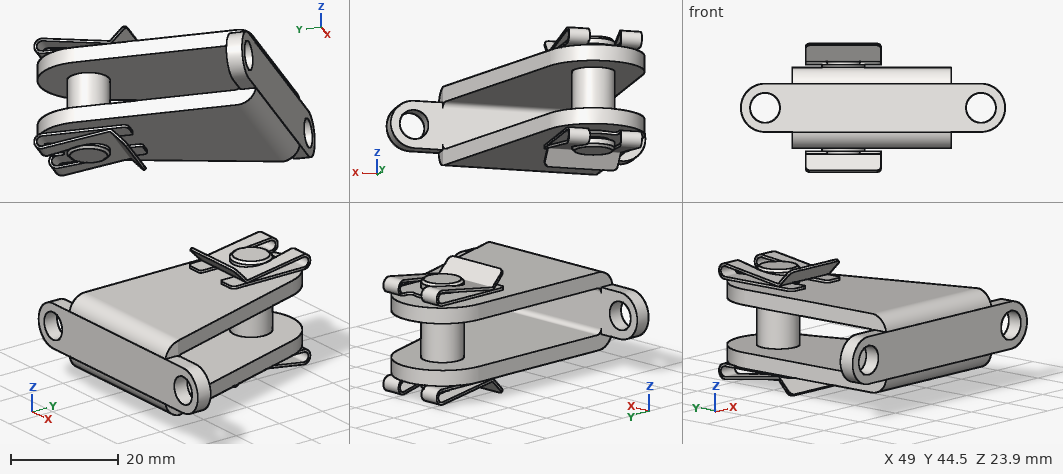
import cadquery as cq
import math


sheet = 3.0
plate_length = 49.0
plate_height = 9.0
mount_hole_dia = 5.5
mount_hole_spacing = 40.0
leg_outer = plate_height / 2 + sheet
bend_inner_radius = 1.0
bend_outer_radius = 3.6
leg_left = -15.0
leg_right = 14.5
leg_end_radius = 9.5

pin_x = leg_left + leg_end_radius
pin_y = 35.0
pin_dia = 8.0
pin_half_length = 10.5
pin_bevel = 0.5
groove_dia = 6.0
groove_start = leg_outer + 0.5
groove_width = 1.0

clip_sheet = 0.5
clip_width = 14.0
clip_front = 25.5
clip_back = 43.5
loop_outer_radius = 1.5
loop_inner_radius = loop_outer_radius - clip_sheet
loop_y = clip_back - loop_outer_radius
loop_z = groove_start + loop_outer_radius
base_top = groove_start + clip_sheet
heel_y = 28.7
heel_gap = 0.02
crease_radius = 0.2
lip_angle = math.radians(46)
clip_top = 11.955
base_back_radius = 5.8
base_back_width = 6.2
base_back_fillet = 0.8
tab_outer_fillet = 1.0
tab_inner_fillet = 0.5
lip_fillet = 1.0


def leg_outline():
    """Plan outline of the legs: a round end around the pin and one slanted edge."""
    corner_x, corner_y = leg_right, sheet
    dx = corner_x - pin_x
    dy = corner_y - pin_y
    tangent_angle = math.atan2(dy, dx) + math.acos(leg_end_radius / math.hypot(dx, dy))
    tangent_point = (
        pin_x + leg_end_radius * math.cos(tangent_angle),
        pin_y + leg_end_radius * math.sin(tangent_angle),
    )
    return (
        cq.Workplane("XY", origin=(0, 0, -leg_outer))
        .moveTo(leg_left, 0)
        .lineTo(leg_left, pin_y)
        .threePointArc((pin_x, pin_y + leg_end_radius), tangent_point)
        .lineTo(corner_x, corner_y)
        .lineTo(leg_right, 0)
        .close()
        .extrude(2 * leg_outer)
    )


def bent_channel():
    """U-shaped bent sheet, open towards +Y, as long in X as the legs are wide."""
    length = leg_right - leg_left
    depth = pin_y + leg_end_radius
    middle_x = (leg_left + leg_right) / 2
    outside = (
        cq.Workplane("XY")
        .box(length, depth, 2 * leg_outer, centered=(True, False, True))
        .edges("|X and <Y")
        .fillet(bend_outer_radius)
    )
    inside = (
        cq.Workplane("XY", origin=(0, sheet, 0))
        .box(length, depth, plate_height, centered=(True, False, True))
        .edges("|X and <Y")
        .fillet(bend_inner_radius)
    )
    return outside.cut(inside).translate((middle_x, 0, 0))


def make_bracket():
    plate = cq.Workplane("XZ").slot2D(plate_length, plate_height).extrude(-sheet)
    mount_holes = (
        cq.Workplane("XZ")
        .rarray(mount_hole_spacing, 1, 2, 1)
        .circle(mount_hole_dia / 2)
        .extrude(-sheet)
    )
    pin_hole = (
        cq.Workplane("XY", origin=(pin_x, pin_y, -leg_outer))
        .circle(pin_dia / 2)
        .extrude(2 * leg_outer)
    )
    legs = bent_channel().intersect(leg_outline())
    return legs.union(plate).cut(mount_holes).cut(pin_hole)


def make_pin():
    """Round pin with bevelled ends and a clip groove near each end."""
    pin = (
        cq.Workplane("XY", origin=(pin_x, pin_y, -pin_half_length))
        .circle(pin_dia / 2)
        .extrude(2 * pin_half_length)
        .faces("|Z")
        .chamfer(pin_bevel)
    )
    groove = (
        cq.Workplane("XY", origin=(pin_x, pin_y, groove_start))
        .circle(pin_dia / 2)
        .circle(groove_dia / 2)
        .extrude(groove_width)
    )
    return pin.cut(groove).cut(groove.mirror("XY"))


def clip_strip():
    """Bent strip of the clip: flat base, loop, sloping arm and raised lip."""
    heel_z = base_top + heel_gap
    run = loop_y - heel_y
    rise = loop_z - heel_z
    tilt = math.atan2(rise, run) + math.asin(loop_inner_radius / math.hypot(run, rise))

    def loop_point(radius, angle):
        return (loop_y + radius * math.cos(angle), loop_z + radius * math.sin(angle))

    arm_start = math.pi / 2 + tilt
    loop_middle = tilt / 2

    half_bend = (tilt + lip_angle) / 2
    mitre = clip_sheet / math.cos(half_bend)
    mitre_lean = half_bend - tilt
    crease = (heel_y + mitre * math.sin(mitre_lean), heel_z + mitre * math.cos(mitre_lean))

    lip_length = (clip_top - crease[1]) / math.sin(lip_angle)
    lip_top = (crease[0] - lip_length * math.cos(lip_angle), clip_top)
    lip_bottom = (
        lip_top[0] - clip_sheet * math.sin(lip_angle),
        lip_top[1] - clip_sheet * math.cos(lip_angle),
    )

    strip = (
        cq.Workplane("YZ", origin=(pin_x - clip_width / 2, 0, 0))
        .moveTo(clip_front, groove_start)
        .lineTo(loop_y, groove_start)
        .threePointArc(
            loop_point(loop_outer_radius, loop_middle),
            loop_point(loop_outer_radius, arm_start),
        )
        .lineTo(*crease)
        .lineTo(*lip_top)
        .lineTo(*lip_bottom)
        .lineTo(heel_y, heel_z)
        .lineTo(*loop_point(loop_inner_radius, arm_start))
        .threePointArc(
            loop_point(loop_inner_radius, loop_middle),
            (loop_y, base_top),
        )
        .lineTo(clip_front, base_top)
        .close()
        .extrude(clip_width)
    )
    crease_edge = cq.selectors.NearestToPointSelector((pin_x, *crease))
    heel_edge = cq.selectors.NearestToPointSelector((pin_x, heel_y, heel_z))
    strip = strip.edges("|X").edges(heel_edge).fillet(crease_radius + clip_sheet)
    strip = strip.edges("|X").edges(crease_edge).fillet(crease_radius)
    lip_end = cq.selectors.NearestToPointSelector(
        (pin_x, (lip_top[0] + lip_bottom[0]) / 2, (lip_top[1] + lip_bottom[1]) / 2)
    )
    return strip.faces(lip_end).edges("not |X").fillet(lip_fillet)


def arm_window():
    """Opening in the arm: clears the pin head and narrows towards the loop."""
    head_radius = pin_dia / 2
    mouth_y = clip_back - pin_y
    mouth_half = groove_dia / 2
    reach = math.hypot(mouth_half, mouth_y)
    touch = math.atan2(mouth_y, mouth_half) - math.acos(head_radius / reach)
    touch_x = head_radius * math.cos(touch)
    touch_y = head_radius * math.sin(touch)
    return (
        cq.Workplane("XY", origin=(pin_x, pin_y, base_top))
        .moveTo(-mouth_half, mouth_y)
        .lineTo(-touch_x, touch_y)
        .threePointArc((0, -head_radius), (touch_x, touch_y))
        .lineTo(mouth_half, mouth_y)
        .close()
        .extrude(clip_top - base_top)
    )


def base_front_slot():
    """Slot from the front of the base to a round seat on the groove of the pin."""
    half = groove_dia / 2
    front = clip_front - pin_y
    return (
        cq.Workplane("XY", origin=(pin_x, pin_y, groove_start))
        .moveTo(-half, front)
        .lineTo(-half, 0)
        .threePointArc((0, half), (half, 0))
        .lineTo(half, front)
        .close()
        .extrude(clip_sheet)
    )


def base_back_notch():
    """Notch from the loop into the base, ending in an arc around the pin."""
    notch_length = clip_back - pin_y
    notch = (
        cq.Workplane("XY", origin=(pin_x, pin_y, groove_start))
        .rect(base_back_width, 2 * notch_length)
        .extrude(clip_sheet)
    )
    rim = (
        cq.Workplane("XY", origin=(pin_x, pin_y, groove_start))
        .circle(base_back_radius)
        .extrude(clip_sheet)
    )
    return notch.cut(rim).solids(">Y").edges("|Z and <Y").fillet(base_back_fillet)


def round_tabs(clip):
    """Round the front corners of the two tabs left beside the front slot."""
    half_slot = groove_dia / 2
    slot_sides = cq.selectors.BoxSelector(
        (pin_x - half_slot - clip_sheet, clip_front - clip_sheet, groove_start),
        (pin_x + half_slot + clip_sheet, clip_front + clip_sheet, base_top),
    )
    clip = clip.edges(slot_sides).edges("|Z").fillet(tab_inner_fillet)
    return clip.edges("|Z").edges("<X or >X").fillet(tab_outer_fillet)


def make_clip(side):
    """One clip: side +1 sits above the upper leg, side -1 below the lower leg."""
    clip = clip_strip().cut(base_front_slot()).cut(base_back_notch()).cut(arm_window())
    clip = round_tabs(clip)
    return clip if side > 0 else clip.mirror("XY")


bracket = make_bracket()
pin = make_pin()
clips = [make_clip(side).val() for side in (1, -1)]

result = cq.Compound.makeCompound([bracket.val(), pin.val(), *clips])